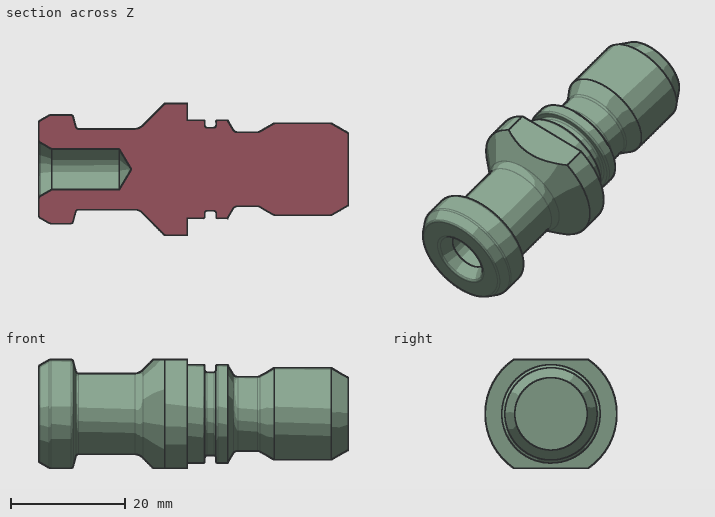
import cadquery as cq
import math


length = 54.0
cone_angle = math.radians(30)

head_radius = 9.5
head_lead_in = 1.95
head_end = 5.95
head_edge_round = 0.45
head_lead_round = 0.7
head_back_angle = math.radians(15)

neck_radius = 7.1
neck_round = 2.0
collar_radius = 11.5
collar_start = 22.0
collar_end = 25.9
flat_distance = 19.0

pilot_radius = 8.6
pilot_end = 32.95
pilot_back_angle = math.radians(60)
groove_start = 29.0
groove_end = 30.9
groove_radius = 7.3
groove_round = 0.3

relief_radius = 6.5
relief_end = 38.35
relief_round = 0.9
shank_radius = 8.05
tip_radius = 6.3

bore_radius = 3.5
bore_depth = 14.05
mouth_depth = 2.25
mouth_round = 0.55
drill_half_angle = math.radians(59)


def rounded_outline(corners):
    """Closed outline through (x, radius, rounding) corners, with tangent arcs where rounding > 0."""
    outline = None
    for i, (x, y, rounding) in enumerate(corners):
        corner = cq.Vector(x, y)
        if rounding == 0:
            stops = [corner]
        else:
            before = (cq.Vector(*corners[i - 1][:2]) - corner).normalized()
            after = (cq.Vector(*corners[(i + 1) % len(corners)][:2]) - corner).normalized()
            half_angle = before.getAngle(after) / 2
            tangent = rounding / math.tan(half_angle)
            to_arc = rounding / math.sin(half_angle) - rounding
            middle = corner + (before + after).normalized() * to_arc
            stops = [corner + before * tangent, middle, corner + after * tangent]
        start = stops[0].toTuple()[:2]
        outline = cq.Workplane("XY").moveTo(*start) if outline is None else outline.lineTo(*start)
        if rounding > 0:
            outline = outline.threePointArc(stops[1].toTuple()[:2], stops[2].toTuple()[:2])
    return outline.close()


def turned(corners):
    """Solid made by turning an outline about the X axis."""
    return rounded_outline(corners).revolve(360, (0, 0, 0), (1, 0, 0))


def make_body():
    face_radius = head_radius - head_lead_in * math.tan(cone_angle)
    neck_start = head_end + (head_radius - neck_radius) * math.tan(head_back_angle)
    neck_end = collar_start - (collar_radius - neck_radius)
    relief_start = pilot_end + (pilot_radius - relief_radius) / math.tan(pilot_back_angle)
    shank_start = relief_end + (shank_radius - relief_radius) / math.tan(cone_angle)
    shank_end = length - (shank_radius - tip_radius) / math.tan(cone_angle)
    return turned([
        (0, 0, 0),
        (0, face_radius, head_edge_round),
        (head_lead_in, head_radius, head_lead_round),
        (head_end, head_radius, head_edge_round),
        (neck_start, neck_radius, head_edge_round),
        (neck_end, neck_radius, neck_round),
        (collar_start, collar_radius, 0),
        (collar_end, collar_radius, 0),
        (collar_end, pilot_radius, 0),
        (groove_start, pilot_radius, groove_round),
        (groove_start, groove_radius, groove_round),
        (groove_end, groove_radius, groove_round),
        (groove_end, pilot_radius, groove_round),
        (pilot_end, pilot_radius, 0),
        (relief_start, relief_radius, relief_round),
        (relief_end, relief_radius, relief_round),
        (shank_start, shank_radius, 0),
        (shank_end, shank_radius, 0),
        (length, tip_radius, 0),
        (length, 0, 0),
    ])


def make_flats_envelope():
    """Slab whose top and bottom faces become the wrench flats."""
    width = 2 * collar_radius
    return cq.Workplane("XY").box(length, width, flat_distance).translate((length / 2, 0, 0))


def make_bore():
    mouth_radius = bore_radius + mouth_depth * math.tan(cone_angle)
    bore_tip = bore_depth + bore_radius / math.tan(drill_half_angle)
    return turned([
        (0, 0, 0),
        (0, mouth_radius, 0),
        (mouth_depth, bore_radius, 0),
        (bore_depth, bore_radius, 0),
        (bore_tip, 0, 0),
    ])


body = make_body().intersect(make_flats_envelope()).cut(make_bore())
result = body.faces("<X").edges(cq.selectors.RadiusNthSelector(0)).fillet(mouth_round)